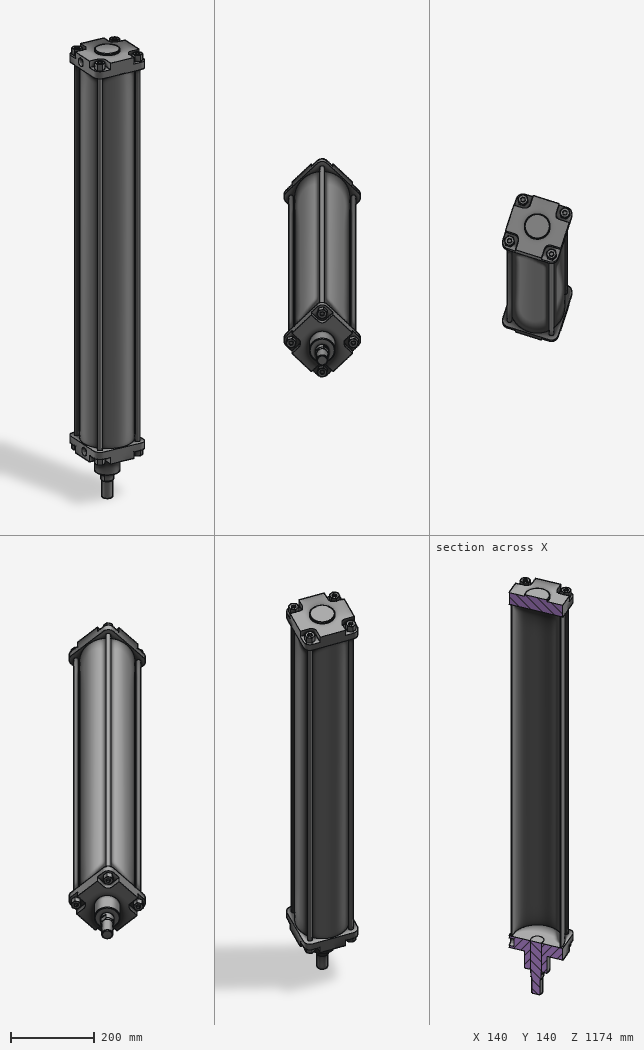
import cadquery as cq
import math

total_length = 1174.0
rear_collar_height = 5.0
thread_length = 45.0
front_face_to_thread = 74.0
cap_height = 36.0

front_face_z = thread_length + front_face_to_thread
rear_face_z = total_length - rear_collar_height
tube_bottom_z = front_face_z + cap_height
tube_top_z = rear_face_z - cap_height

cap_width = 140.0
cap_corner_radius = 17.0
tie_rod_offset = 53.0
pocket_width = 37.0
pocket_corner_radius = 14.0
pocket_depth = 17.0
collar_diameter = 62.0
collar_chamfer = 2.0
front_collar_length = 50.0

port_diameter = 21.0
port_depth = 12.0
port_offset_x = 8.0

tube_outer_diameter = 133.0
bore_diameter = 125.0

rod_diameter = 32.0
thread_diameter = 27.0
thread_chamfer = 2.0
rod_taper_height = 3.5
rod_taper_inset = (rod_diameter - thread_diameter) / 2
flats_width = 27.0
flats_top_z = 61.0

tie_rod_diameter = 12.0
head_across_flats = 22.0
head_height = pocket_depth
head_chamfer_angle = math.radians(30)
socket_across_flats = 10.0
socket_depth = 6.0

hexagon_sides = 6
corners_per_flats = 1 / math.cos(math.pi / hexagon_sides)

tie_rod_points = [
    (x_side * tie_rod_offset, y_side * tie_rod_offset) for x_side in (-1, 1) for y_side in (-1, 1)
]


def cylinder(diameter, bottom_z, top_z, center=(0, 0)):
    """Upright cylinder between two heights."""
    base = cq.Workplane("XY").workplane(offset=bottom_z).center(*center)
    return base.circle(diameter / 2).extrude(top_z - bottom_z)


def corner_pockets(bottom_z):
    """Four corner recesses, open to the two neighbouring sides and rounded at the inner corner."""
    cutters = (
        cq.Workplane("XY")
        .workplane(offset=bottom_z)
        .rect(cap_width, cap_width, forConstruction=True)
        .vertices()
        .rect(2 * pocket_width, 2 * pocket_width)
        .extrude(pocket_depth)
    )
    return cutters.edges("|Z").fillet(pocket_corner_radius)


def cap_block(bottom_z, pocket_bottom_z, port_x):
    """Square cap with rounded corners, corner pockets, tie-rod holes and a port in the -Y side."""
    block = (
        cq.Workplane("XY")
        .workplane(offset=bottom_z)
        .rect(cap_width, cap_width)
        .extrude(cap_height)
        .edges("|Z")
        .fillet(cap_corner_radius)
        .cut(corner_pockets(pocket_bottom_z))
    )
    for point in tie_rod_points:
        block = block.cut(cylinder(tie_rod_diameter, bottom_z, bottom_z + cap_height, point))
    port = (
        cq.Workplane("XZ", origin=(port_x, -cap_width / 2, bottom_z + cap_height / 2))
        .circle(port_diameter / 2)
        .extrude(-port_depth)
    )
    return block.cut(port)


def make_front_cap():
    """Cap at the rod end, with a long collar that guides the rod."""
    collar = cylinder(collar_diameter, front_face_z - front_collar_length, front_face_z)
    collar = collar.faces("<Z").edges().chamfer(collar_chamfer)
    block = cap_block(front_face_z, front_face_z, port_offset_x)
    rod_hole = cylinder(rod_diameter, front_face_z - front_collar_length, tube_bottom_z)
    return block.union(collar).cut(rod_hole)


def make_rear_cap():
    """Closed cap with a short centring collar."""
    collar = cylinder(collar_diameter, rear_face_z, total_length)
    collar = collar.faces(">Z").edges().chamfer(collar_chamfer)
    return cap_block(tube_top_z, rear_face_z - pocket_depth, -port_offset_x).union(collar)


def make_tube():
    """Plain round tube clamped between the caps."""
    bore = cylinder(bore_diameter, tube_bottom_z, tube_top_z)
    return cylinder(tube_outer_diameter, tube_bottom_z, tube_top_z).cut(bore)


def make_piston_rod():
    """Rod with two wrench flats, a tapered shoulder and a plain stud for the thread."""
    rod = cylinder(rod_diameter, thread_length, tube_bottom_z)
    rod = rod.faces("<Z").edges().chamfer(rod_taper_height, rod_taper_inset)
    flats_height = flats_top_z - thread_length
    flats = (
        cq.Workplane("XY")
        .workplane(offset=thread_length)
        .rect(2 * rod_diameter, 2 * rod_diameter)
        .rect(2 * rod_diameter, flats_width)
        .extrude(flats_height)
    )
    stud = cylinder(thread_diameter, 0, thread_length).faces("<Z").edges().chamfer(thread_chamfer)
    return rod.cut(flats).union(stud)


def tie_rod_head(bottom_z, point, outer_face):
    """Hexagonal head with a rounded-off outer end and a hexagon socket in its outer face."""
    across_corners = head_across_flats * corners_per_flats
    socket_across_corners = socket_across_flats * corners_per_flats
    corner_overhang = (across_corners - head_across_flats) / 2
    chamfer_height = corner_overhang * math.tan(head_chamfer_angle)
    envelope = (
        cylinder(across_corners, bottom_z, bottom_z + head_height, point)
        .faces(outer_face)
        .edges()
        .chamfer(chamfer_height, corner_overhang)
    )
    head = (
        cq.Workplane("XY")
        .workplane(offset=bottom_z)
        .center(*point)
        .polygon(hexagon_sides, across_corners)
        .extrude(head_height)
        .intersect(envelope)
    )
    socket = head.faces(outer_face).workplane().polygon(hexagon_sides, socket_across_corners)
    return socket.cutBlind(-socket_depth)


def make_tie_rod(point):
    """Tie rod through both caps, with its two heads in the corner pockets."""
    shank = cylinder(tie_rod_diameter, front_face_z + pocket_depth, rear_face_z - pocket_depth, point)
    front_head = tie_rod_head(front_face_z, point, "<Z")
    rear_head = tie_rod_head(rear_face_z - head_height, point, ">Z")
    return shank.union(front_head).union(rear_head)


front_cap = make_front_cap()
rear_cap = make_rear_cap()
tube = make_tube()
piston_rod = make_piston_rod()
tie_rods = [make_tie_rod(point) for point in tie_rod_points]

result = cq.Compound.makeCompound(
    [
        front_cap.val(),
        rear_cap.val(),
        tube.val(),
        piston_rod.val(),
        *[tie_rod.val() for tie_rod in tie_rods],
    ]
)